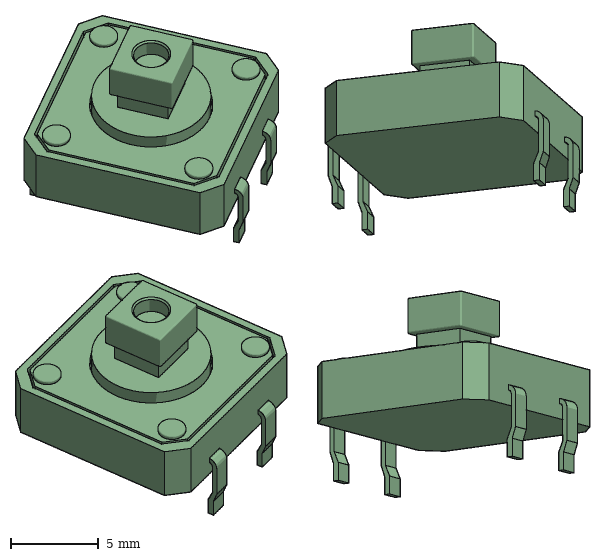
import cadquery as cq
import math

HOUSING_SIDE = 12.0
HOUSING_HEIGHT = 3.31
CORNER_CUT = 1.08

RIM_WIDTH = 0.47
COVER_GAP = 0.14
RECESS_SIDE = HOUSING_SIDE - 2 * RIM_WIDTH
COVER_SIDE = RECESS_SIDE - 2 * COVER_GAP
RECESS_CORNER_CUT = 1.12
COVER_CORNER_CUT = RECESS_CORNER_CUT - COVER_GAP * (2 - math.sqrt(2))
COVER_THICKNESS = 0.5
RECESS_FLOOR = HOUSING_HEIGHT - COVER_THICKNESS
COVER_BORE_DIAMETER = 7.0

RIVET_HEAD_DIAMETER = 1.6
RIVET_SHANK_DIAMETER = 0.98
RIVET_HOLE_DIAMETER = 1.0
RIVET_PITCH = 8.54
RIVET_TOP = 3.58
RIVET_EDGE_RADIUS = 0.098

FLANGE_DIAMETER = 6.8
FLANGE_TOP = 4.0
STEM_SIDE = 3.02
HEAD_SIDE = 3.8
HEAD_BOTTOM = 5.21
PLUNGER_TOP = 7.29
HEAD_EDGE_RADIUS = 0.1
HEAD_HOLE_DIAMETER = 2.0
HEAD_HOLE_DEPTH = 1.0
HOLE_EDGE_CHAMFER = 0.1

LEG_SPAN = 13.02
LEG_PITCH = 5.0
LEG_WIDTH = 1.04
LEG_THICKNESS = 0.3
LEG_BEND_RADIUS = 0.57
LEG_TOP = 1.18
LEG_BOTTOM = -3.0
JOG_TOP = -1.3
JOG_BOTTOM = -1.95
JOG_OFFSET = 0.23
FOOT_THICKNESS = 0.35


def octagonal_block(side, corner_cut, bottom, top):
    """Square block, centred on the Z axis, with its four upright edges cut at 45 degrees."""
    block = cq.Workplane("XY").workplane(offset=bottom).rect(side, side).extrude(top - bottom)
    return block.edges("|Z").chamfer(corner_cut)


def cylinder(diameter, bottom, top):
    """Upright cylinder on the Z axis."""
    return cq.Workplane("XY").workplane(offset=bottom).circle(diameter / 2).extrude(top - bottom)


def square_bar(side, bottom, top):
    """Upright square bar on the Z axis."""
    return cq.Workplane("XY").workplane(offset=bottom).rect(side, side).extrude(top - bottom)


def square_places(pitch):
    """Centres of four features in a square pattern about the Z axis."""
    half = pitch / 2
    return [(x, y) for x in (-half, half) for y in (-half, half)]


def make_leg():
    """Leg at +X, centred on Y = 0: quarter-round shoulder, straight drop, inward jog and foot.

    The shoulder starts just inside the housing, so the leg is rooted in it.
    """
    outer_x = LEG_SPAN / 2
    inner_x = outer_x - LEG_THICKNESS
    inner_radius = LEG_BEND_RADIUS - LEG_THICKNESS
    root_x = outer_x - LEG_BEND_RADIUS
    bend_z = LEG_TOP - LEG_BEND_RADIUS
    foot_outer_x = outer_x - JOG_OFFSET
    foot_inner_x = foot_outer_x - FOOT_THICKNESS
    profile = (
        cq.Workplane("XZ")
        .moveTo(root_x, LEG_TOP)
        .radiusArc((outer_x, bend_z), LEG_BEND_RADIUS)
        .lineTo(outer_x, JOG_TOP)
        .lineTo(foot_outer_x, JOG_BOTTOM)
        .lineTo(foot_outer_x, LEG_BOTTOM)
        .lineTo(foot_inner_x, LEG_BOTTOM)
        .lineTo(foot_inner_x, JOG_BOTTOM)
        .lineTo(inner_x, JOG_TOP)
        .lineTo(inner_x, bend_z)
        .radiusArc((root_x, bend_z + inner_radius), -inner_radius)
        .close()
    )
    return profile.extrude(LEG_WIDTH / 2, both=True)


def make_rivet():
    """Rivet on the Z axis: plain shank and a head with both rims rounded, resting on the cover."""
    head = cylinder(RIVET_HEAD_DIAMETER, HOUSING_HEIGHT, RIVET_TOP)
    head = head.faces("<Z or >Z").edges().fillet(RIVET_EDGE_RADIUS)
    return cylinder(RIVET_SHANK_DIAMETER, RECESS_FLOOR, HOUSING_HEIGHT).union(head)


def make_housing():
    """Housing block with the cover recess, the four rivets and the four legs."""
    housing = octagonal_block(HOUSING_SIDE, CORNER_CUT, 0, HOUSING_HEIGHT)
    housing = housing.cut(octagonal_block(RECESS_SIDE, RECESS_CORNER_CUT, RECESS_FLOOR, HOUSING_HEIGHT))
    for x, y in square_places(RIVET_PITCH):
        housing = housing.union(make_rivet().translate((x, y, 0)))
    right_leg = make_leg()
    left_leg = right_leg.mirror("YZ")
    for leg in (right_leg, left_leg):
        for y in (-LEG_PITCH / 2, LEG_PITCH / 2):
            housing = housing.union(leg.translate((0, y, 0)))
    return housing


def make_cover():
    """Cover plate with the plunger bore and the four rivet holes."""
    cover = octagonal_block(COVER_SIDE, COVER_CORNER_CUT, RECESS_FLOOR, HOUSING_HEIGHT)
    cover = cover.cut(cylinder(COVER_BORE_DIAMETER, RECESS_FLOOR, HOUSING_HEIGHT))
    rivet_hole = cylinder(RIVET_HOLE_DIAMETER, RECESS_FLOOR, HOUSING_HEIGHT)
    for x, y in square_places(RIVET_PITCH):
        cover = cover.cut(rivet_hole.translate((x, y, 0)))
    return cover


def make_plunger():
    """Plunger resting on the recess floor, clear of the cover bore."""
    head = square_bar(HEAD_SIDE, HEAD_BOTTOM, PLUNGER_TOP).edges().fillet(HEAD_EDGE_RADIUS)
    plunger = cylinder(FLANGE_DIAMETER, RECESS_FLOOR, FLANGE_TOP)
    plunger = plunger.union(square_bar(STEM_SIDE, FLANGE_TOP, HEAD_BOTTOM)).union(head)
    plunger = plunger.cut(cylinder(HEAD_HOLE_DIAMETER, PLUNGER_TOP - HEAD_HOLE_DEPTH, PLUNGER_TOP))
    return plunger.faces(">Z").edges("%CIRCLE").chamfer(HOLE_EDGE_CHAMFER)


housing = make_housing()
cover = make_cover()
plunger = make_plunger()

result = cq.Compound.makeCompound([housing.val(), cover.val(), plunger.val()])